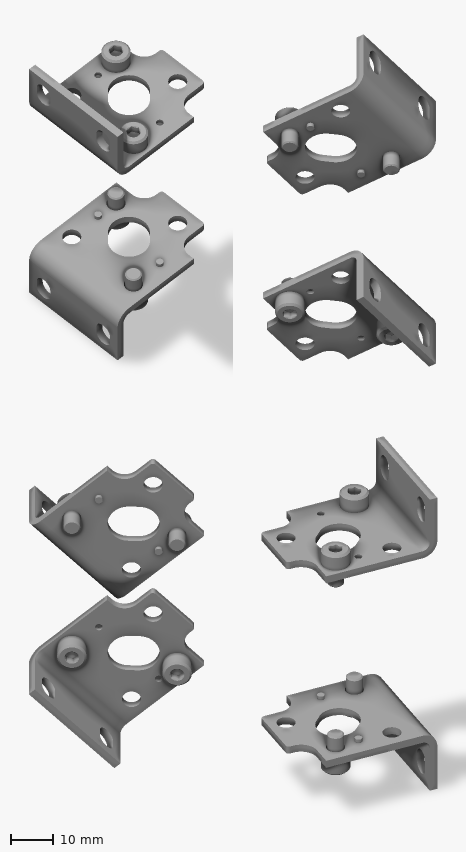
import cadquery as cq
import math


width = 29.6
depth = 34.9
overall_height = 82.0
flange_height = 16.0
sheet = 2.0
bend_inner_radius = sheet
bend_outer_radius = bend_inner_radius + sheet

flange_top = overall_height / 2
plate_bottom = flange_top - flange_height
plate_top = plate_bottom + sheet

tab_left = -5.5
tab_right = 9.1
left_shoulder = 29.1
right_shoulder = 25.4
notch_radius = 4.1
tab_corner_radius = 0.8

hole_diameter = 4.5
hole_x = 10.3
front_hole_y = 9.75
rear_hole_y = 24.5
tab_hole_position = (4.35, 30.5)
screw_positions = [(-hole_x, rear_hole_y), (hole_x, front_hole_y)]
open_hole_positions = [(-hole_x, front_hole_y), tab_hole_position]

pip_y = 18.5
opening_diameter = 10.0
opening_shift = 1.6
opening_angle = 135

pip_diameter = 1.8
pip_height = 1.0

slot_x = 10.0
slot_width = 4.5
slot_length = 6.5
slot_height = 10.5

shank_diameter = 4.0
shank_length = 5.9
shank_chamfer = 0.3
head_diameter = 7.0
head_height = 4.0
head_chamfer = 0.5
socket_flats = 3.0
socket_depth = 2.0
socket_cone_angle = 120.0
socket_mouth_diameter = 3.5
socket_mouth_angle = 90.0


def l_section():
    """Sheet folded from the plate up into the flange, extruded across the width."""
    bend_at = bend_outer_radius
    diagonal = math.sqrt(0.5)
    outer_middle = bend_at - bend_outer_radius * diagonal
    inner_middle = bend_at - bend_inner_radius * diagonal
    return (
        cq.Workplane("YZ", origin=(-width / 2, 0, plate_bottom))
        .moveTo(depth, 0)
        .lineTo(bend_at, 0)
        .threePointArc((outer_middle, outer_middle), (0, bend_at))
        .lineTo(0, flange_height)
        .lineTo(sheet, flange_height)
        .lineTo(sheet, bend_at)
        .threePointArc((inner_middle, inner_middle), (bend_at, sheet))
        .lineTo(depth, sheet)
        .close()
        .extrude(width)
    )


def corner_notch(tab_side, shoulder, outer_side):
    """Block beside the tab, rounded where the tab meets the shoulder."""
    block = cq.Workplane("XY").box(
        abs(outer_side - tab_side), depth - shoulder, sheet, centered=False
    )
    block = block.translate((min(outer_side, tab_side), shoulder, plate_bottom))
    inner_edge = "<X" if outer_side > tab_side else ">X"
    return block.faces(inner_edge).edges("|Z and <Y").fillet(notch_radius)


def round_cutter(positions, diameter, bottom, height):
    """Upright cylinders at the given XY positions."""
    return (
        cq.Workplane("XY", origin=(0, 0, bottom))
        .pushPoints(positions)
        .circle(diameter / 2)
        .extrude(height)
    )


def central_opening():
    """Diagonal slot through the plate."""
    middle = (-opening_shift / 2, pip_y + opening_shift / 2, plate_bottom)
    length = opening_diameter + opening_shift * math.sqrt(2)
    return (
        cq.Workplane("XY", origin=middle)
        .slot2D(length, opening_diameter, opening_angle)
        .extrude(sheet)
    )


def flange_slots():
    """Two upright slots through the flange."""
    return (
        cq.Workplane("XZ", origin=(0, 0, plate_bottom + slot_height))
        .pushPoints([(-slot_x, 0), (slot_x, 0)])
        .slot2D(slot_length, slot_width, 90)
        .extrude(-sheet)
    )


def make_bracket():
    """Upper bracket: plate below, flange standing up at the front."""
    bracket = l_section()
    bracket = bracket.cut(corner_notch(tab_left, left_shoulder, -width / 2))
    bracket = bracket.cut(corner_notch(tab_right, right_shoulder, width / 2))
    bracket = bracket.faces(">Y").edges("|Z").fillet(tab_corner_radius)
    holes = screw_positions + open_hole_positions
    bracket = bracket.cut(round_cutter(holes, hole_diameter, plate_bottom, sheet))
    bracket = bracket.cut(central_opening())
    bracket = bracket.cut(flange_slots())
    pips = [(-hole_x, pip_y), (hole_x, pip_y)]
    bracket = bracket.cut(round_cutter(pips, pip_diameter, plate_top - pip_height, pip_height))
    return bracket.union(round_cutter(pips, pip_diameter, plate_bottom - pip_height, pip_height))


def cone_cutter(level, diameter, included_angle):
    """Cone on the Z axis, its base at the given level and its point below."""
    radius = diameter / 2
    height = radius / math.tan(math.radians(included_angle / 2))
    return (
        cq.Workplane("XZ")
        .moveTo(0, level)
        .lineTo(radius, level)
        .lineTo(0, level - height)
        .close()
        .revolve(360, (0, 0), (0, 1))
    )


def make_screw(position):
    """Socket head screw seated on the upper plate, shank pointing down."""
    x, y = position
    head = (
        cq.Workplane("XY")
        .circle(head_diameter / 2)
        .extrude(head_height)
        .faces(">Z")
        .chamfer(head_chamfer)
    )
    shank = (
        cq.Workplane("XY")
        .circle(shank_diameter / 2)
        .extrude(-shank_length)
        .faces("<Z")
        .chamfer(shank_chamfer)
    )
    socket_floor = head_height - socket_depth
    socket = (
        cq.Workplane("XY", origin=(0, 0, socket_floor))
        .polygon(6, socket_flats, circumscribed=True)
        .extrude(socket_depth)
    )
    drill_tip = cone_cutter(socket_floor, socket_flats, socket_cone_angle)
    lead_in = cone_cutter(head_height, socket_mouth_diameter, socket_mouth_angle)
    screw = head.union(shank).cut(socket).cut(drill_tip).cut(lead_in)
    return screw.translate((x, y, plate_top))


upper_bodies = [make_bracket()]
for screw_position in screw_positions:
    upper_bodies.append(make_screw(screw_position))
lower_bodies = [body.mirror("XY") for body in upper_bodies]

result = cq.Compound.makeCompound([body.val() for body in upper_bodies + lower_bodies])